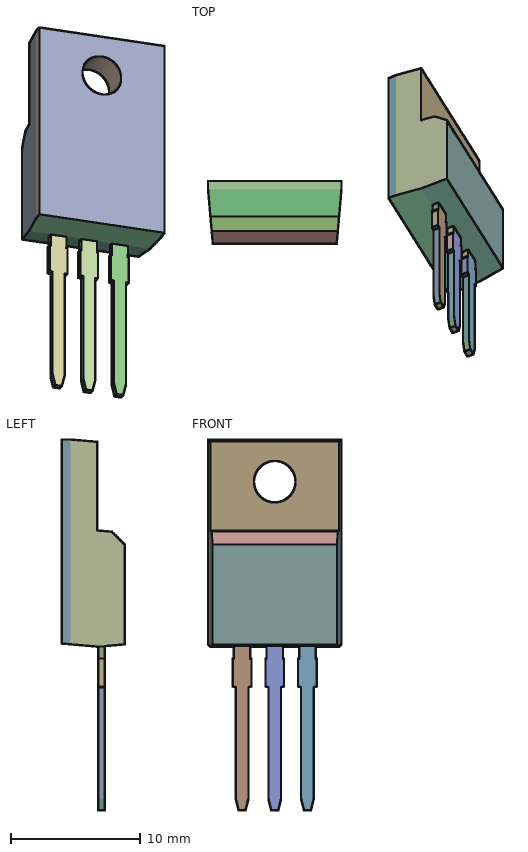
import cadquery as cq
import math

total_height = 28.75
body_width = 10.35
body_depth = 4.9
flange_thickness = 0.7
tab_thickness = 2.75
shoulder_height = 21.7
shoulder_bevel = 1.0
bottom_height = 12.68
draft_slope = math.tan(math.radians(5))

hole_diameter = 3.2
hole_height = 25.47

lead_count = 3
lead_pitch = 2.53
lead_thickness = 0.52
lead_back_depth = 2.82
neck_width = 1.3
collar_width = 1.47
lead_width = 1.0
tip_width = 0.55
collar_top = 11.75
collar_bottom = 9.6
collar_foot = 9.55
tip_height = 0.92


def make_body():
    """Stepped side profile with drafted ends and sides, and a mounting hole."""
    bevel_depth = body_depth - shoulder_bevel
    tab_top = total_height - draft_slope * (tab_thickness - flange_thickness)
    bevel_top = shoulder_height - draft_slope * (bevel_depth - tab_thickness)
    back_bottom = bottom_height + draft_slope * lead_back_depth
    front_bottom = bottom_height + draft_slope * (body_depth - lead_back_depth)
    profile = [
        (0, back_bottom),
        (0, total_height),
        (-flange_thickness, total_height),
        (-tab_thickness, tab_top),
        (-tab_thickness, shoulder_height),
        (-bevel_depth, bevel_top),
        (-body_depth, bevel_top - shoulder_bevel),
        (-body_depth, front_bottom),
        (-lead_back_depth, bottom_height),
    ]
    stepped = cq.Workplane("YZ").polyline(profile).close().extrude(body_width / 2, both=True)

    back_half = body_width / 2
    front_half = back_half - draft_slope * (body_depth - flange_thickness)
    plan = [
        (-back_half, 0),
        (back_half, 0),
        (back_half, -flange_thickness),
        (front_half, -body_depth),
        (-front_half, -body_depth),
        (-back_half, -flange_thickness),
    ]
    envelope = cq.Workplane("XY").polyline(plan).close().extrude(total_height)

    hole = (
        cq.Workplane("XZ")
        .center(0, hole_height)
        .circle(hole_diameter / 2)
        .extrude(body_depth)
    )
    return stepped.intersect(envelope).cut(hole).solids()


def make_lead(x_center, body):
    """Flat lead with a collar and a tapered tip, butted against the body."""
    blank_top = bottom_height + draft_slope * lead_thickness
    right_edge = [
        (tip_width / 2, 0),
        (lead_width / 2, tip_height),
        (lead_width / 2, collar_foot),
        (collar_width / 2, collar_bottom),
        (collar_width / 2, collar_top),
        (neck_width / 2, collar_top),
        (neck_width / 2, blank_top),
    ]
    left_edge = [(-x, z) for x, z in reversed(right_edge)]
    blank = (
        cq.Workplane("XZ")
        .polyline(right_edge + left_edge)
        .close()
        .extrude(lead_thickness)
        .translate((x_center, -lead_back_depth, 0))
    )
    return blank.cut(body).solids()


body = make_body()
leads = [
    make_lead((index - (lead_count - 1) / 2) * lead_pitch, body)
    for index in range(lead_count)
]

result = cq.Compound.makeCompound([body.val(), *[lead.val() for lead in leads]])